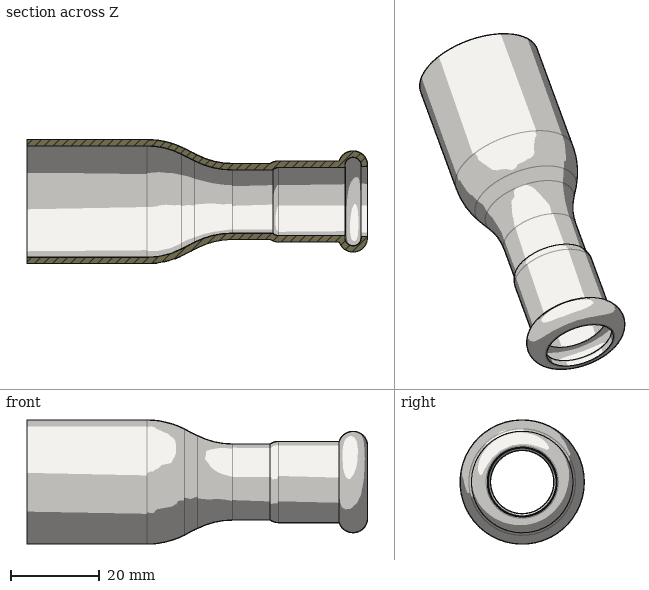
import cadquery as cq
import math

total_length = 76.7
wall = 1.495
pipe_radius = 28.0 / 2
neck_radius = 17.2 / 2
socket_radius = 18.3 / 2
socket_bore_radius = 15.3 / 2
mouth_radius = 15.7 / 2

pipe_length = 27.1
taper_angle = math.radians(27)
convex_radius = 18.4
concave_radius = 17.25

step_end = 56.6
step_arc_radius = 3.2

bead_radius = 3.3
bead_center_radius = 8.1
bead_center_x = total_length - bead_radius


def draw_arc(profile, center, radius, start_angle, end_angle):
    """Continue the profile along an arc between two angles about its center."""
    def point(angle):
        return (center[0] + radius * math.cos(angle), center[1] + radius * math.sin(angle))

    return profile.threePointArc(point((start_angle + end_angle) / 2), point(end_angle))


def tube_solid(inset, tube_neck_radius, tube_socket_radius):
    """Revolve one surface of the tube, moved inward from the outside by inset."""
    convex = convex_radius - inset
    concave = concave_radius + inset
    tube_pipe_radius = pipe_radius - inset
    arc_factor = 1 - math.cos(taper_angle)
    outer_cone_drop = pipe_radius - neck_radius - (convex_radius + concave_radius) * arc_factor
    cone_length = outer_cone_drop / math.tan(taper_angle)
    concave_center_x = pipe_length + (convex_radius + concave_radius) * math.sin(taper_angle) + cone_length
    cone_end = (
        concave_center_x - concave * math.sin(taper_angle),
        tube_neck_radius + concave * arc_factor,
    )

    step_radius = step_arc_radius - inset
    step_center_radius = tube_socket_radius - step_radius
    step_angle = math.pi - math.asin((tube_neck_radius - step_center_radius) / step_radius)
    step_start_x = step_end + step_radius * math.cos(step_angle)

    ring_radius = bead_radius - inset
    ring_angle = math.pi - math.asin((tube_socket_radius - bead_center_radius) / ring_radius)
    ring_start_x = bead_center_x + ring_radius * math.cos(ring_angle)
    ring_end_x = bead_center_x + ring_radius

    profile = cq.Workplane("XY").lineTo(0, tube_pipe_radius).lineTo(pipe_length, tube_pipe_radius)
    profile = draw_arc(
        profile, (pipe_length, tube_pipe_radius - convex), convex, math.pi / 2, math.pi / 2 - taper_angle
    )
    profile = profile.lineTo(*cone_end)
    profile = draw_arc(
        profile,
        (concave_center_x, tube_neck_radius + concave),
        concave,
        -math.pi / 2 - taper_angle,
        -math.pi / 2,
    )
    profile = profile.lineTo(step_start_x, tube_neck_radius)
    profile = draw_arc(profile, (step_end, step_center_radius), step_radius, step_angle, math.pi / 2)
    profile = profile.lineTo(ring_start_x, tube_socket_radius)
    profile = draw_arc(profile, (bead_center_x, bead_center_radius), ring_radius, ring_angle, 0)
    profile = profile.lineTo(ring_end_x, mouth_radius)
    if inset > 0:
        profile = profile.lineTo(total_length, mouth_radius)
    profile = profile.lineTo(total_length, 0).close()
    return profile.revolve(360, (0, 0, 0), (1, 0, 0))


outside = tube_solid(0, neck_radius, socket_radius)
inside = tube_solid(wall, neck_radius - wall, socket_bore_radius)
result = outside.cut(inside)